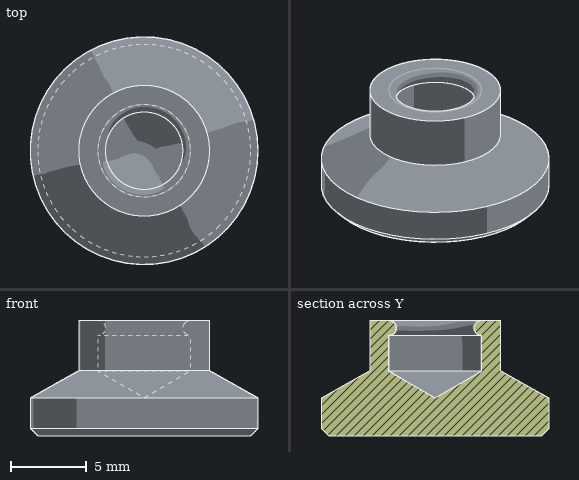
import cadquery as cq
import math

flange_radius = 7.5
neck_radius = 4.3
total_height = 7.6
bottom_chamfer = 0.5
flange_height = 2.5
shoulder_top = 4.3

bore_radius = 3.05
bore_depth = 3.33
drill_point_angle = 120.0
bead_radius = 0.5

bore_floor = total_height - bore_depth
drill_tip = bore_floor - bore_radius / math.tan(math.radians(drill_point_angle / 2))
throat_radius = bore_radius - bead_radius
throat_height = total_height - bead_radius
bead_bottom = total_height - 2 * bead_radius

profile = (
    cq.Workplane("XZ")
    .moveTo(0, 0)
    .lineTo(flange_radius - bottom_chamfer, 0)
    .lineTo(flange_radius, bottom_chamfer)
    .lineTo(flange_radius, flange_height)
    .lineTo(neck_radius, shoulder_top)
    .lineTo(neck_radius, total_height)
    .lineTo(bore_radius, total_height)
    .threePointArc((throat_radius, throat_height), (bore_radius, bead_bottom))
    .lineTo(bore_radius, bore_floor)
    .lineTo(0, drill_tip)
    .close()
)

result = profile.revolve(360, (0, 0, 0), (0, 1, 0))